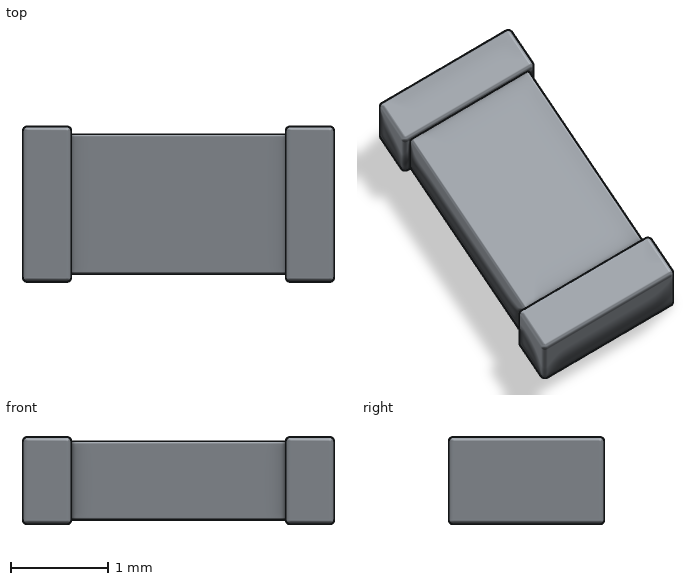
import cadquery as cq

length = 3.2
width = 1.6
height = 0.9

terminal_length = 0.5
terminal_fillet = 0.05

body_side_inset = 0.08
body_top_inset = 0.045
body_fillet = 0.03


def make_body():
    """Central block with rounded lengthwise edges, ending inside the terminals."""
    body_length = length - terminal_length
    body_width = width - 2 * body_side_inset
    body_height = height - 2 * body_top_inset
    block = cq.Workplane("XY").box(body_length, body_width, body_height)
    return block.edges("|X").fillet(body_fillet)


def make_terminal(side):
    """End cap with every edge rounded; side is -1 or +1 along X."""
    center_x = side * (length - terminal_length) / 2
    cap = cq.Workplane("XY").box(terminal_length, width, height)
    return cap.edges().fillet(terminal_fillet).translate((center_x, 0, 0))


result = make_body()
for side in (-1, 1):
    result = result.union(make_terminal(side))
result = result.translate((0, 0, height / 2))